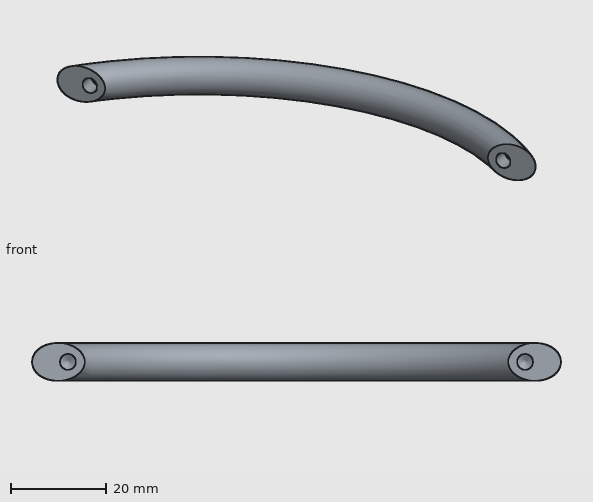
import cadquery as cq
import math

length = 111.2
height = 25.5
bar_diameter = 8.0
hole_spacing = 96.0
hole_diameter = 3.3
hole_depth = 4.5
drill_point_angle = 118.0

outer_radius = ((length / 2) ** 2 + height**2) / (2 * height)
bend_radius = outer_radius - bar_diameter / 2
bend_center_y = height - outer_radius


def bent_bar():
    """Half ring of round bar, with the part below the foot plane y = 0 removed."""
    end_plane = cq.Plane(origin=(0, bend_center_y, 0), xDir=(0, 0, 1), normal=(0, 1, 0))
    half_ring = (
        cq.Workplane(end_plane)
        .center(0, bend_radius)
        .circle(bar_diameter / 2)
        .revolve(180, (0, -bend_radius), (1, -bend_radius))
    )
    above_feet = cq.Workplane("XY").box(
        2 * length, height + bar_diameter, 2 * bar_diameter, centered=(True, False, True)
    )
    return half_ring.intersect(above_feet)


def mounting_hole(x):
    """Blind hole with a conical drill point, running in +Y from the foot at x."""
    radius = hole_diameter / 2
    point_depth = radius / math.tan(math.radians(drill_point_angle / 2))
    return (
        cq.Workplane("XY")
        .polyline([(0, 0), (radius, 0), (radius, hole_depth), (0, hole_depth + point_depth)])
        .close()
        .revolve(360, (0, 0), (0, 1))
        .translate((x, 0, 0))
    )


result = bent_bar()
for side in (-1, 1):
    result = result.cut(mounting_hole(side * hole_spacing / 2))